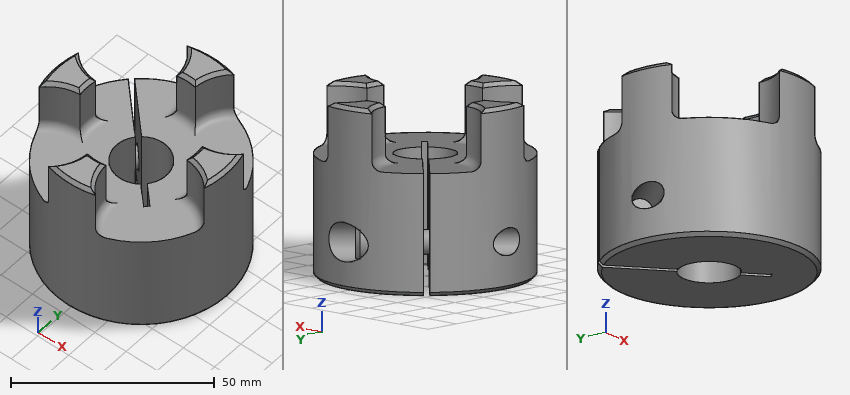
import cadquery as cq
import math

HUB_RADIUS = 27.5
TOTAL_HEIGHT = 45.95
FLOOR_Z = 30.65
BORE_RADIUS = 7.95
EDGE_CHAMFER = 1.0

JAW_COUNT = 4
JAW_INNER_RADIUS = 17.35
LOBE_RADIUS = 13.4
LOBE_CENTER_DISTANCE = 23.15
JAW_ROOT_FILLET = 2.4

SLOT_WIDTH = 1.55
SLOT_END_DISTANCE = 15.45
SLOT_ANGLE = 135

SCREW_OFFSET = 18.6
SCREW_Z = 11.95
SHANK_RADIUS = 3.05
SHANK_LENGTH = 20
HEAD_RADIUS = 4.9
HEAD_HEIGHT = 6.0
HEAD_CHAMFER = 1.0
HEAD_END = 17.35
HEAD_SEAT = HEAD_END - HEAD_HEIGHT
SCREW_HOLE_RADIUS = 3.45


def screw_rod(radius, start, end):
    """Cylinder on the screw axis, between two distances from the slot."""
    angle = math.radians(SLOT_ANGLE)
    origin = (SCREW_OFFSET * math.cos(angle), SCREW_OFFSET * math.sin(angle), SCREW_Z)
    across_slot = (math.sin(angle), -math.cos(angle), 0)
    plane = cq.Plane(origin=origin, xDir=(0, 0, 1), normal=across_slot)
    return cq.Workplane(plane).workplane(offset=start).circle(radius).extrude(end - start)


def rounded_pocket(outline):
    """Pocket from the floor up, its bottom edge rounded to form the jaw roots."""
    return outline.extrude(TOTAL_HEIGHT - FLOOR_Z).faces("<Z").edges().fillet(JAW_ROOT_FILLET)


def lobe_pocket():
    """Lobe whose two flanks run straight on towards the bore, meeting at a right angle."""
    center = LOBE_CENTER_DISTANCE / math.sqrt(2)
    flank = center - LOBE_RADIUS
    far = center + LOBE_RADIUS / math.sqrt(2)
    outline = (
        cq.Workplane("XY", origin=(0, 0, FLOOR_Z))
        .moveTo(flank, flank)
        .lineTo(center, flank)
        .threePointArc((far, far), (flank, center))
        .close()
    )
    return rounded_pocket(outline)


def jaw_clearance():
    """Space cleared around the jaws: the central pocket and the lobes."""
    clearance = rounded_pocket(cq.Workplane("XY", origin=(0, 0, FLOOR_Z)).circle(JAW_INNER_RADIUS))
    for index in range(JAW_COUNT):
        lobe = lobe_pocket().rotate((0, 0, 0), (0, 0, 1), index * 360 / JAW_COUNT)
        clearance = clearance.union(lobe)
    return clearance


def clamping_slot():
    length = SLOT_END_DISTANCE + HUB_RADIUS
    return (
        cq.Workplane("XY")
        .center((HUB_RADIUS - SLOT_END_DISTANCE) / 2, 0)
        .rect(length, SLOT_WIDTH)
        .extrude(TOTAL_HEIGHT)
        .rotate((0, 0, 0), (0, 0, 1), SLOT_ANGLE)
    )


def make_hub():
    hub = cq.Workplane("XY").circle(HUB_RADIUS).extrude(TOTAL_HEIGHT)
    hub = hub.faces("<Z").chamfer(EDGE_CHAMFER)
    hub = hub.cut(jaw_clearance())
    hub = hub.faces(">Z").edges().chamfer(EDGE_CHAMFER)

    bore = cq.Workplane("XY").circle(BORE_RADIUS).extrude(TOTAL_HEIGHT)
    screw_hole = screw_rod(SCREW_HOLE_RADIUS, -HUB_RADIUS, HEAD_SEAT)
    head_recess = screw_rod(HEAD_RADIUS, HEAD_SEAT, HUB_RADIUS)
    return hub.cut(bore).cut(clamping_slot()).cut(screw_hole).cut(head_recess)


def make_screw():
    shank = screw_rod(SHANK_RADIUS, HEAD_SEAT - SHANK_LENGTH, HEAD_SEAT)
    head = screw_rod(HEAD_RADIUS, HEAD_SEAT, HEAD_END)
    head = head.faces(">(1, 1, 0)").chamfer(HEAD_CHAMFER)
    return head.union(shank)


hub = make_hub()
screw = make_screw()
result = cq.Compound.makeCompound([hub.val(), screw.val()])